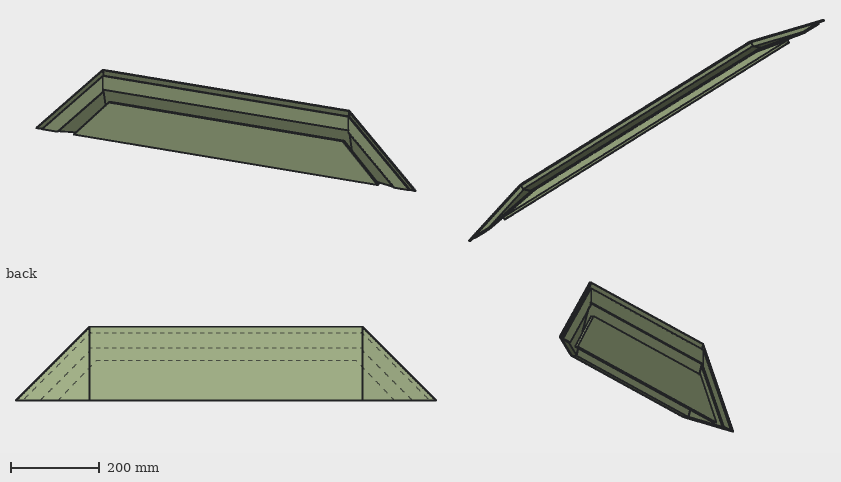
import cadquery as cq
import math

LENGTH = 945.0
DEPTH = 49.0
HEIGHT = 166.0
SHEET = 3.0
STRIP_THICKNESS = 4.0
PANEL_THICKNESS = 7.0
SEAM_X = 306.0

MIDDLE_STRIP_INNER = 47.0
SIDE_STRIP_INNER = 53.0

PANEL_HALF_BASE = 379.0
PANEL_HALF_TOP = 292.0
PANEL_HEIGHT = 91.0

SLOPE = math.atan2(DEPTH, HEIGHT)
SHEET_Y = SHEET * math.cos(SLOPE)
SHEET_Z = SHEET * math.sin(SLOPE)

INNER_DEPTH = DEPTH - SHEET_Y
INNER_HEIGHT = HEIGHT - SHEET_Z
SIDE_RUN = LENGTH / 2 - SEAM_X
SIDE_NORMAL = cq.Vector(-1 / SIDE_RUN, 1 / INNER_DEPTH, 1 / INNER_HEIGHT).normalized()
TIP_X = LENGTH / 2 + SHEET * SIDE_NORMAL.x

STRIP_SCALE = 1 - STRIP_THICKNESS / INNER_DEPTH
STRIP_TOP = INNER_HEIGHT * STRIP_SCALE
STRIP_TIP_X = SEAM_X + (TIP_X - SEAM_X) * STRIP_SCALE


def upright_plate(points, thickness):
    """Plate with an XZ outline, its front on y = 0 and its back at y = thickness."""
    return cq.Workplane("XZ").polyline(points).close().extrude(-thickness)


def mirrored_pair(left):
    """The left body and its mirror image on the right."""
    return [left, left.mirror("YZ")]


def middle_sheet():
    profile = [
        (0, INNER_HEIGHT),
        (SHEET_Y, HEIGHT),
        (DEPTH, SHEET_Z),
        (INNER_DEPTH, 0),
    ]
    return cq.Workplane("YZ").polyline(profile).close().extrude(SEAM_X, both=True)


def left_sheet():
    """Triangular sheet from the tip up to the top corner and back to the seam's foot."""
    corners = [
        cq.Vector(-TIP_X, 0, 0),
        cq.Vector(-SEAM_X, 0, INNER_HEIGHT),
        cq.Vector(-SEAM_X, INNER_DEPTH, 0),
    ]
    face = cq.Face.makeFromWires(cq.Wire.makePolygon(corners, close=True))
    return cq.Workplane(obj=cq.Solid.extrudeLinear(face, SIDE_NORMAL * SHEET))


def wedge_profile(scale):
    """YZ triangle under the middle sheet, scaled about its bottom front corner."""
    return [
        (0, 0),
        (INNER_DEPTH * scale, 0),
        (0, INNER_HEIGHT * scale),
    ]


def middle_wedge(scale):
    """Prism under the middle sheet, its legs scaled about the bottom front edge."""
    return cq.Workplane("YZ").polyline(wedge_profile(scale)).close().extrude(SEAM_X, both=True)


def left_wedge(scale):
    """Three-sided pyramid under the left sheet, its legs scaled about the seam's foot."""
    corners = [cq.Vector(-SEAM_X, y, z) for y, z in wedge_profile(scale)]
    tip = cq.Vector(-SEAM_X - (TIP_X - SEAM_X) * scale, 0, 0)
    loops = [
        corners,
        [corners[0], corners[1], tip],
        [corners[1], corners[2], tip],
        [corners[2], corners[0], tip],
    ]
    faces = [cq.Face.makeFromWires(cq.Wire.makePolygon(loop, close=True)) for loop in loops]
    return cq.Workplane(obj=cq.Solid.makeSolid(cq.Shell.makeShell(faces)))


def liner_scale(strip_inner, leg):
    """Wedge scale whose sloping face meets the back of a strip along its inner edge."""
    return 1 - strip_inner / leg + STRIP_THICKNESS / INNER_DEPTH


def liner(wedge, inner_scale):
    """Layer under a sheet and parallel to it, cut off flat at the back of the strip."""
    strip_space = cq.Workplane("XY").box(
        LENGTH, STRIP_THICKNESS, HEIGHT, centered=(True, False, False)
    )
    return wedge(1).cut(wedge(inner_scale)).cut(strip_space)


def middle_strip():
    bottom = HEIGHT - MIDDLE_STRIP_INNER
    outline = [
        (-SEAM_X, bottom),
        (SEAM_X, bottom),
        (SEAM_X, STRIP_TOP),
        (-SEAM_X, STRIP_TOP),
    ]
    return upright_plate(outline, STRIP_THICKNESS)


def left_strip():
    outline = [
        (-STRIP_TIP_X, 0),
        (-LENGTH / 2 + SIDE_STRIP_INNER, 0),
        (-SEAM_X, HEIGHT - SIDE_STRIP_INNER),
        (-SEAM_X, STRIP_TOP),
    ]
    return upright_plate(outline, STRIP_THICKNESS)


def front_panel():
    outline = [
        (-PANEL_HALF_BASE, 0),
        (PANEL_HALF_BASE, 0),
        (PANEL_HALF_TOP, PANEL_HEIGHT),
        (-PANEL_HALF_TOP, PANEL_HEIGHT),
    ]
    return upright_plate(outline, PANEL_THICKNESS)


middle_liner = liner(middle_wedge, liner_scale(MIDDLE_STRIP_INNER, HEIGHT))
left_liner = liner(left_wedge, liner_scale(SIDE_STRIP_INNER, SIDE_RUN))

sheets = [middle_sheet(), *mirrored_pair(left_sheet())]
liners = [middle_liner, *mirrored_pair(left_liner)]
strips = [middle_strip(), *mirrored_pair(left_strip())]
bodies = [*sheets, *liners, *strips, front_panel()]

result = cq.Compound.makeCompound([body.val() for body in bodies])